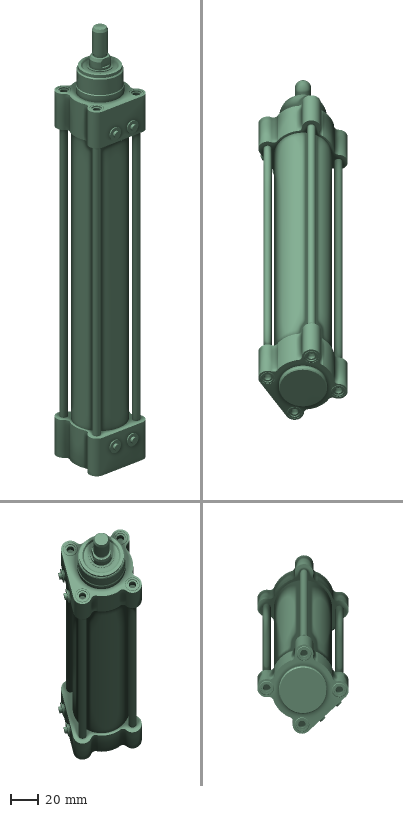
import cadquery as cq
import math


rear_spigot_bottom = 0.0
rear_cap_bottom = 4.0
rear_cap_top = 35.5
front_cap_bottom = 278.8
front_cap_top = 309.0
collar_top = 331.0
shoulder_z = 339.5
rod_top = 363.0

cap_width = 52.0
bolt_pitch = 38.0
bulge_radius = 23.5
bulge_half_width = 8.0
valley_radius = 3.5
half_width = cap_width / 2
bolt_offset = bolt_pitch / 2
boss_radius = half_width - bolt_offset
bolt_centres = [(sx * bolt_offset, sy * bolt_offset) for sx in (-1, 1) for sy in (-1, 1)]

spigot_diameter = 36.0
spigot_chamfer = 0.7
front_spigot_height = 6.0
collar_diameter = 35.0
collar_chamfer = 0.7
nose_diameter = 32.5
nose_height = 2.5
dish_floor_diameter = 26.0
dish_rim_diameter = 28.3
dish_depth = 1.0
wiper_lip_diameter = 19.0
wiper_lip_height = 0.7

screw_offset = 8.5
front_screw_z = 287.5
rear_screw_z = 25.5
screw_neck_diameter = 8.0
screw_flange_diameter = 10.5
screw_tip_diameter = 5.0
screw_neck_length = 1.5
screw_flange_length = 0.7
screw_length = 4.5

barrel_diameter = 43.2
rod_diameter = 16.0
flats_width = 13.0
flats_bottom = 332.5
thread_diameter = 12.0
shaft_chamfer_height = 2.0
shaft_chamfer_width = 1.0
undercut_diameter = 10.0
undercut_height = 2.5
tie_rod_diameter = 6.0
head_diameter = 11.0
head_length = 10.5
head_chamfer = 0.5
socket_rim_diameter = 8.0
socket_rim_depth = 1.0
socket_diameter = 5.5
socket_depth = 7.5


def cylinder(diameter, bottom, top):
    return cq.Workplane("XY", origin=(0, 0, bottom)).circle(diameter / 2).extrude(top - bottom)


def lobe_points():
    """Points from the bulge edge along the valley arc to the boss, for the +Y side and +X half."""
    edge_x = bulge_half_width
    edge_y = math.sqrt(bulge_radius**2 - edge_x**2)
    dx, dy = edge_x - bolt_offset, edge_y - bolt_offset
    gap = math.hypot(dx, dy)
    reach = boss_radius + valley_radius
    turn = math.acos((reach**2 + gap**2 - valley_radius**2) / (2 * reach * gap))
    angle = math.atan2(dy, dx) - turn
    centre_x = bolt_offset + reach * math.cos(angle)
    centre_y = bolt_offset + reach * math.sin(angle)
    join_x = bolt_offset + boss_radius * math.cos(angle)
    join_y = bolt_offset + boss_radius * math.sin(angle)
    chord_x, chord_y = (edge_x + join_x) / 2 - centre_x, (edge_y + join_y) / 2 - centre_y
    stretch = valley_radius / math.hypot(chord_x, chord_y)
    middle = (centre_x + chord_x * stretch, centre_y + chord_y * stretch)
    return (edge_x, edge_y), middle, (join_x, join_y)


def turned(point, quarter_turns):
    x, y = point
    for _ in range(quarter_turns):
        x, y = -y, x
    return x, y


def mirrored(point):
    return -point[0], point[1]


def cap_block(bottom, top):
    """Cap body: bulged on -X, +Y and -Y, flat on +X, with a round boss at each corner."""
    edge, valley, join = lobe_points()
    crown = (0, bulge_radius)
    boss_reach = bolt_offset + boss_radius * math.cos(math.radians(45))
    boss_outer = (-boss_reach, boss_reach)
    outline = cq.Workplane("XY", origin=(0, 0, bottom)).moveTo(half_width, -bolt_offset)
    outline = outline.lineTo(half_width, bolt_offset)
    outline = outline.threePointArc((boss_reach, boss_reach), join)
    for side in range(3):
        outline = outline.threePointArc(turned(valley, side), turned(edge, side))
        outline = outline.threePointArc(turned(crown, side), turned(mirrored(edge), side))
        outline = outline.threePointArc(turned(mirrored(valley), side), turned(mirrored(join), side))
        if side < 2:
            outline = outline.threePointArc(turned(boss_outer, side), turned(join, side + 1))
    outline = outline.threePointArc((boss_reach, -boss_reach), (half_width, -bolt_offset))
    return outline.close().extrude(top - bottom)


def cushion_screws(z):
    """Two stepped screw heads standing out of the flat +X side."""
    steps = [
        (screw_neck_diameter, screw_neck_length),
        (screw_flange_diameter, screw_neck_length + screw_flange_length),
        (screw_tip_diameter, screw_length),
    ]
    screws = cq.Workplane("XY")
    for y in (-screw_offset, screw_offset):
        start = 0
        for diameter, end in steps:
            plane = cq.Workplane("YZ", origin=(half_width + start, y, z))
            screws = screws.union(plane.circle(diameter / 2).extrude(end - start))
            start = end
    return screws


def tie_rod_blank():
    """A rod on the Z axis with a plain round head at each end, which is also the shape of its seat."""
    blank = cylinder(tie_rod_diameter, rear_cap_bottom, front_cap_top)
    front_head = cylinder(head_diameter, front_cap_top - head_length, front_cap_top)
    rear_head = cylinder(head_diameter, rear_cap_bottom, rear_cap_bottom + head_length)
    return blank.union(front_head).union(rear_head)


def tie_rod(x, y):
    """A rod with a flush, stepped socket head at each end."""
    rod = tie_rod_blank()
    for face in (">Z", "<Z"):
        rod = rod.faces(face).chamfer(head_chamfer)
        rod = rod.faces(face).workplane().cboreHole(
            socket_diameter, socket_rim_diameter, socket_rim_depth, socket_depth
        )
    return rod.translate((x, y, 0))


def drilled_for_tie_rods(cap):
    for x, y in bolt_centres:
        cap = cap.cut(tie_rod_blank().translate((x, y, 0)))
    return cap


def collar():
    """Collar with a dished nose, a wiper lip around the rod and a spigot at its foot."""
    spigot_top = front_cap_top + front_spigot_height
    spigot = cylinder(spigot_diameter, front_cap_top, spigot_top).faces(">Z").chamfer(spigot_chamfer)
    nose_bottom = collar_top - nose_height
    body = cylinder(collar_diameter, front_cap_top, nose_bottom).faces(">Z").chamfer(collar_chamfer)
    nose = cylinder(nose_diameter, nose_bottom, collar_top)
    dish = (
        cq.Workplane("XY", origin=(0, 0, collar_top - dish_depth))
        .circle(dish_floor_diameter / 2)
        .workplane(offset=dish_depth)
        .circle(dish_rim_diameter / 2)
        .loft()
    )
    dish_floor = collar_top - dish_depth
    wiper_lip = cylinder(wiper_lip_diameter, dish_floor, dish_floor + wiper_lip_height)
    return spigot.union(body).union(nose).cut(dish).union(wiper_lip)


def make_front_cap():
    cap = cap_block(front_cap_bottom, front_cap_top).union(collar()).union(cushion_screws(front_screw_z))
    cap = cap.cut(cylinder(rod_diameter, front_cap_bottom, collar_top))
    return drilled_for_tie_rods(cap)


def make_rear_cap():
    spigot = cylinder(spigot_diameter, rear_spigot_bottom, rear_cap_bottom)
    spigot = spigot.faces("<Z").chamfer(spigot_chamfer)
    cap = cap_block(rear_cap_bottom, rear_cap_top).union(spigot).union(cushion_screws(rear_screw_z))
    return drilled_for_tie_rods(cap)


def chamfered_shaft(diameter, bottom, top):
    """A shaft whose top edge has a chamfer taller than it is wide."""
    radius = diameter / 2
    profile = [
        (0, bottom),
        (radius, bottom),
        (radius, top - shaft_chamfer_height),
        (radius - shaft_chamfer_width, top),
        (0, top),
    ]
    return cq.Workplane("XZ").polyline(profile).close().revolve(360, (0, 0, 0), (0, 1, 0))


def make_piston_rod():
    """Rod with two wrench flats, an undercut and a threaded end of smaller diameter."""
    rod = chamfered_shaft(rod_diameter, front_cap_bottom, shoulder_z)
    flats_height = shoulder_z - flats_bottom
    flats = (
        cq.Workplane("XY", origin=(0, 0, flats_bottom))
        .rect(rod_diameter, rod_diameter)
        .rect(flats_width, rod_diameter)
        .extrude(flats_height)
    )
    thread_bottom = shoulder_z + undercut_height
    undercut = cylinder(undercut_diameter, shoulder_z, thread_bottom)
    thread = chamfered_shaft(thread_diameter, thread_bottom, rod_top)
    return rod.cut(flats).union(undercut).union(thread)


front_cap = make_front_cap()
rear_cap = make_rear_cap()
barrel = cylinder(barrel_diameter, rear_cap_top, front_cap_bottom)
piston_rod = make_piston_rod()
tie_rods = [tie_rod(x, y).val() for x, y in bolt_centres]

result = cq.Compound.makeCompound(
    [front_cap.val(), rear_cap.val(), barrel.val(), piston_rod.val(), *tie_rods]
)